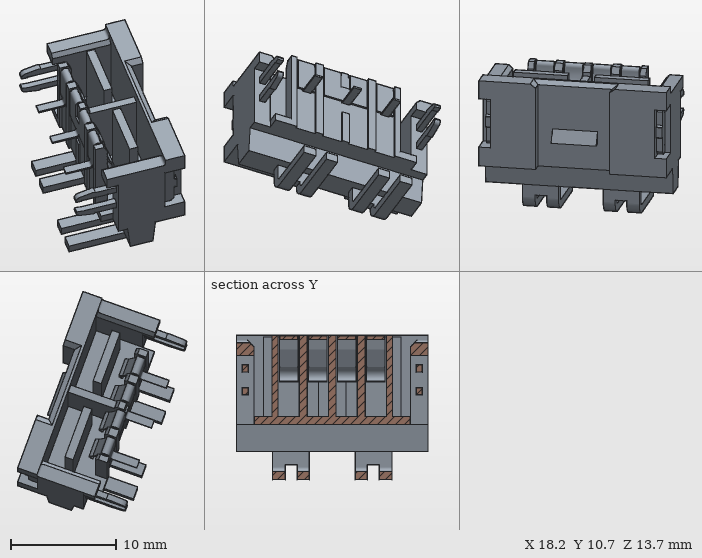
import cadquery as cq
import math


DIAGONAL = math.sqrt(0.5)

length = 18.2
depth = 7.77
height = 8.48
half_length = length / 2

side_wall = 1.67
side_wall_top = 7.77
side_bevel = 0.38
back_wall_front = 5.82
back_fillet = 0.24
floor_top = 0.78
shelf_front = -0.05
cavity_half = half_length - side_wall

lug_depth = 1.13
lug_bottom = 6.55

keel_height = 2.58
keel_top_y = (2.05, 4.85)
keel_bottom_y = (2.33, 4.59)

divider_half = 0.36
divider_top = 7.46

notch_half = 3.59
notch_floor = 6.62
notch_bevel = 0.53
notch_bevel_height = 0.38
catch_half = 2.18
catch_reach = 0.65
catch_height = 1.24
catch_bottom = 2.55

sheet = 0.18
panel_front = sheet
roll_radius = 0.42
panel_back = 2 * roll_radius - sheet
rib_back = 1.15
rib_bevel = 0.33
rib_bevel_height = 0.65
outer_rib = (5.15, 5.73)
inner_rib = (2.37, 3.15)
key_rib_top = 3.51

outer_plate = (3.28, 5.0)
center_plate_half = 2.24
center_slot_half = 0.5
slot_bottom = 6.55
plate_bottom = 4.91
roll_center_z = height - roll_radius
slope_top = (1.02, 7.08)
slope_end = (1.65, 5.45)
nose_start = (1.77, 5.33)
nose_y = 2.04
nose_z = 4.68
nose_end_z = 2 * nose_z - nose_start[1]
tail_tip = -2.6
tail_bend = 0.18
outer_tail_x = 4.11
tail_width = 0.8

blade_x = (1.31, 6.53)
blade_y = (3.1, 3.91)
blade_top = 8.3
neck_x = (2.17, 5.68)
slit_x = (3.33, 4.44)
slit_top = -3.82
leg_bottom = -5.26
leg_tip = -2.68
bend_inner = 0.36

clip_inset = (0.55, 1.13)
pocket_front = 5.77
pocket_z = (1.87, 6.68)
prong_tip = -2.93
upper_prong_z = (4.99, 5.68)
lower_prong_z = (2.8, 3.5)


def box(x, y, z):
    """Box between pairs of X, Y and Z limits."""
    size = (x[1] - x[0], y[1] - y[0], z[1] - z[0])
    return cq.Workplane("XY").box(*size, centered=False).translate((x[0], y[0], z[0]))


def prism(outline, x):
    """Closed (Y, Z) outline extruded between two X limits."""
    return cq.Workplane("YZ").workplane(offset=x[0]).polyline(outline).close().extrude(x[1] - x[0])


def both_sides(solid):
    """The solid together with its mirror image across X = 0."""
    return solid.union(solid.mirror("YZ"))


def side_wall_body():
    wall = (
        cq.Workplane("YZ")
        .workplane(offset=cavity_half)
        .moveTo(lug_depth, 0)
        .lineTo(depth, 0)
        .lineTo(depth, height)
        .lineTo(back_wall_front, height)
        .lineTo(back_wall_front, side_wall_top + back_fillet)
        .radiusArc((back_wall_front - back_fillet, side_wall_top), back_fillet)
        .lineTo(0, side_wall_top)
        .lineTo(0, lug_bottom)
        .lineTo(lug_depth, lug_bottom)
        .close()
        .extrude(side_wall)
    )
    bevel_end = side_bevel + back_fillet
    bevel = (
        cq.Workplane("XZ")
        .moveTo(cavity_half, side_wall_top - side_bevel)
        .lineTo(cavity_half + bevel_end, side_wall_top + back_fillet)
        .lineTo(cavity_half, side_wall_top + back_fillet)
        .close()
        .extrude(-back_wall_front)
    )
    return wall.cut(bevel)


def back_notch():
    """Full-height opening in the back wall, flared at its top edge."""
    slot = box((-notch_half, notch_half), (notch_floor, depth), (0, height))
    flare_half = notch_half + notch_bevel
    flare = (
        cq.Workplane("XY")
        .workplane(offset=height - notch_bevel_height)
        .rect(2 * notch_half, 2 * (depth - notch_floor))
        .workplane(offset=notch_bevel_height)
        .rect(2 * flare_half, 2 * (depth - notch_floor + notch_bevel))
        .loft(ruled=True)
        .translate((0, depth, 0))
    )
    return slot.union(flare)


def housing():
    cavity_x = (-cavity_half, cavity_half)
    body = both_sides(side_wall_body())
    body = body.union(box(cavity_x, (back_wall_front, depth), (0, height)))
    body = body.union(box(cavity_x, (panel_front, depth), (0, floor_top)))
    shelf_end = box((outer_rib[0], cavity_half), (shelf_front, panel_front), (0, floor_top))
    body = body.union(both_sides(shelf_end))
    keel = [
        (keel_top_y[0], 0),
        (keel_bottom_y[0], -keel_height),
        (keel_bottom_y[1], -keel_height),
        (keel_top_y[1], 0),
    ]
    body = body.union(prism(keel, (-half_length, half_length)))
    divider = box((-divider_half, divider_half), (panel_front, back_wall_front), (0, divider_top))
    body = body.union(divider).cut(back_notch())
    catch = [
        (notch_floor, catch_bottom),
        (notch_floor + catch_reach, catch_bottom),
        (notch_floor, catch_bottom + catch_height),
    ]
    return body.union(prism(catch, (-catch_half, catch_half)))


def front_rib(x, front):
    outline = [
        (front, 0),
        (rib_back, 0),
        (rib_back, height - rib_bevel_height),
        (rib_back - rib_bevel, height),
        (front, height),
    ]
    return prism(outline, x)


def front_wall():
    core_radius = roll_radius - sheet
    panel = (
        cq.Workplane("YZ")
        .workplane(offset=-outer_rib[0])
        .moveTo(panel_front, 0)
        .lineTo(panel_back, 0)
        .lineTo(panel_back, roll_center_z)
        .threePointArc((roll_radius, roll_center_z + core_radius), (sheet, roll_center_z))
        .close()
        .extrude(2 * outer_rib[0])
    )
    wall = panel.union(front_rib((-divider_half, divider_half), panel_front))
    for x in (inner_rib, outer_rib):
        wall = wall.union(both_sides(front_rib(x, shelf_front)))
    return wall.union(box((-divider_half, divider_half), (0, panel_front), (0, key_rib_top)))


def spring(x):
    """Sheet rolled over the wall top, sloping into the cavity and ending in a rounded nose."""
    core_radius = roll_radius - sheet
    nose_inset = sheet * DIAGONAL
    return (
        cq.Workplane("YZ")
        .workplane(offset=x[0])
        .moveTo(0, plate_bottom)
        .lineTo(0, roll_center_z)
        .threePointArc((roll_radius, height), (2 * roll_radius, roll_center_z))
        .tangentArcPoint(slope_top, relative=False)
        .lineTo(*slope_end)
        .lineTo(*nose_start)
        .threePointArc((nose_y, nose_z), (nose_start[0], nose_end_z))
        .lineTo(nose_start[0] - nose_inset, nose_end_z + nose_inset)
        .threePointArc(
            (nose_y - sheet, nose_z),
            (nose_start[0] - nose_inset, nose_start[1] - nose_inset),
        )
        .lineTo(slope_end[0] - sheet, slope_end[1])
        .lineTo(slope_top[0] - sheet, slope_top[1])
        .lineTo(panel_back, roll_center_z)
        .threePointArc((roll_radius, roll_center_z + core_radius), (sheet, roll_center_z))
        .lineTo(sheet, plate_bottom)
        .close()
        .extrude(x[1] - x[0])
    )


def tail(x_center):
    """Flat tail bent forward out of the lower edge of a contact plate."""
    outer_bend = tail_bend + sheet
    return (
        cq.Workplane("YZ")
        .workplane(offset=x_center - tail_width / 2)
        .moveTo(0, plate_bottom)
        .threePointArc(
            (-tail_bend * (1 - DIAGONAL), plate_bottom - tail_bend * DIAGONAL),
            (-tail_bend, plate_bottom - tail_bend),
        )
        .lineTo(tail_tip, plate_bottom - tail_bend)
        .lineTo(tail_tip, plate_bottom - outer_bend)
        .lineTo(-tail_bend, plate_bottom - outer_bend)
        .threePointArc(
            (-tail_bend + outer_bend * DIAGONAL, plate_bottom - outer_bend * DIAGONAL),
            (sheet, plate_bottom),
        )
        .close()
        .extrude(tail_width)
    )


def contacts():
    bridge = box(
        (-center_slot_half, center_slot_half), (0, sheet), (plate_bottom, slot_bottom)
    )
    strips = spring(outer_plate).union(spring((center_slot_half, center_plate_half)))
    strips = both_sides(strips.union(tail(outer_tail_x)))
    return strips.union(bridge).union(tail(0))


def terminal():
    """Blade with a narrower neck that splits into two legs bent forward."""
    bend_outer = bend_inner + blade_y[1] - blade_y[0]
    bend_y = blade_y[0] - bend_inner
    bend_z = leg_bottom + bend_outer
    legs = (
        cq.Workplane("YZ")
        .workplane(offset=neck_x[0])
        .moveTo(blade_y[0], 0)
        .lineTo(blade_y[0], bend_z)
        .threePointArc(
            (bend_y + bend_inner * DIAGONAL, bend_z - bend_inner * DIAGONAL),
            (bend_y, bend_z - bend_inner),
        )
        .lineTo(leg_tip, bend_z - bend_inner)
        .lineTo(leg_tip, leg_bottom)
        .lineTo(bend_y, leg_bottom)
        .threePointArc(
            (bend_y + bend_outer * DIAGONAL, bend_z - bend_outer * DIAGONAL),
            (blade_y[1], bend_z),
        )
        .lineTo(blade_y[1], 0)
        .close()
        .extrude(neck_x[1] - neck_x[0])
    )
    slit = box(slit_x, (leg_tip, blade_y[1]), (leg_bottom, slit_top))
    return box(blade_x, blade_y, (0, blade_top)).union(legs.cut(slit))


def upper_prong(x):
    """Prong with a low crest on top and a rounded tip."""
    return (
        cq.Workplane("YZ")
        .workplane(offset=x[0])
        .moveTo(lug_depth, upper_prong_z[0])
        .lineTo(-2.28, upper_prong_z[0])
        .lineTo(-2.35, 4.93)
        .lineTo(prong_tip, 4.93)
        .lineTo(prong_tip, 5.17)
        .threePointArc((-2.75, 5.42), (-2.4, 5.57))
        .lineTo(-1.27, 5.77)
        .threePointArc((-1.13, 5.77), (-0.98, 5.68))
        .lineTo(-0.25, upper_prong_z[1])
        .lineTo(lug_depth, upper_prong_z[1])
        .close()
        .extrude(x[1] - x[0])
    )


def lower_prong(x):
    """Prong with a low crest underneath and a rounded tip."""
    return (
        cq.Workplane("YZ")
        .workplane(offset=x[0])
        .moveTo(lug_depth, lower_prong_z[1])
        .lineTo(-2.17, lower_prong_z[1])
        .lineTo(-2.85, 3.59)
        .lineTo(prong_tip, 3.42)
        .threePointArc((-2.84, 3.15), (-2.6, 2.98))
        .lineTo(-1.27, 2.73)
        .threePointArc((-1.13, 2.73), (-0.98, 2.82))
        .lineTo(lug_depth, lower_prong_z[0])
        .close()
        .extrude(x[1] - x[0])
    )


def clip():
    """Sheet clip seated in the side pocket, with two prongs reaching past the front."""
    x = (half_length - clip_inset[1], half_length - clip_inset[0])
    plate = [
        (5.88, 1.93),
        (6.55, 1.93),
        (6.88, 2.25),
        (6.88, 3.6),
        (7.0, 3.73),
        (7.19, 3.73),
        (7.19, 4.75),
        (7.05, 4.75),
        (6.88, 4.91),
        (6.88, 6.25),
        (6.48, 6.62),
        (5.88, 6.62),
        (5.88, 5.88),
        (pocket_front, 5.88),
        (pocket_front, 2.64),
        (5.88, 2.64),
    ]
    return prism(plate, x).union(upper_prong(x)).union(lower_prong(x))


pocket = box((half_length - clip_inset[1], half_length), (pocket_front, depth), pocket_z)

result = housing().union(front_wall()).cut(both_sides(pocket))
result = result.union(contacts())
result = result.union(both_sides(terminal()))
result = result.union(both_sides(clip()))